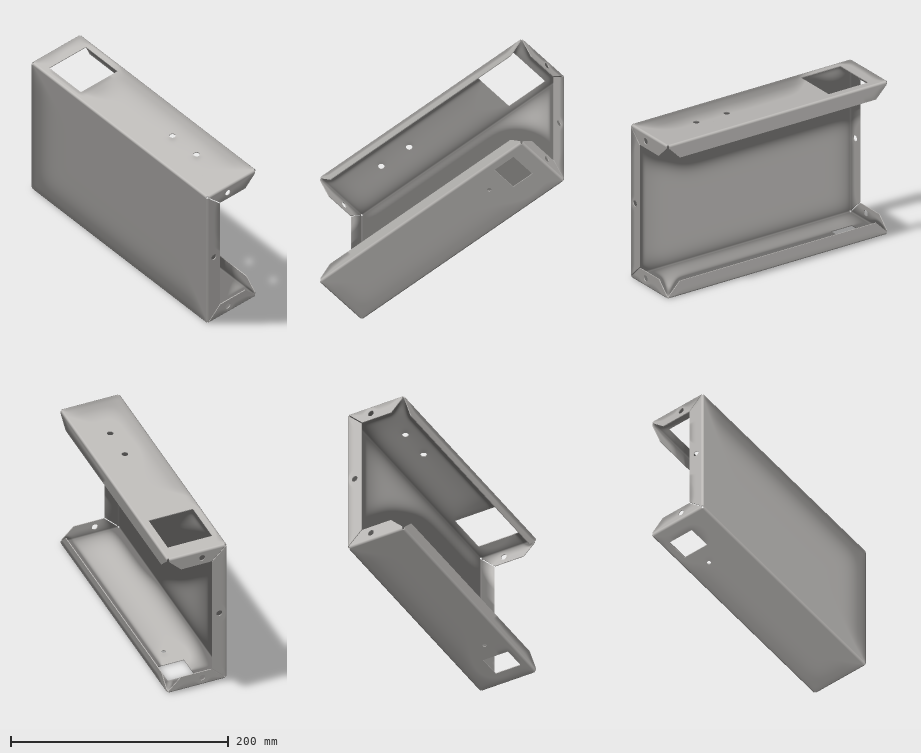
import cadquery as cq

length = 248.0
depth = 60.0
height = 155.0

sheet = 0.8
bend_radius = 2.1
flange_depth = 15.1
miter_trim = 0.7
shoulder = 1.2

hole_diameter = 6.0
flange_hole_from_front = 25.0
flange_hole_from_edge = 8.2
front_flange_hole_from_front = 8.0

opening_left = 17.0
opening_back = 8.0
top_opening_size = 44.5
bottom_opening_length = 23.3
bottom_opening_depth = 26.3
top_hole_from_front = 32.0
top_hole_positions = (38.0, 72.0)
bottom_hole_diameter = 4.0
bottom_hole_x = -65.0
bottom_hole_from_front = 38.0

half_length = length / 2
half_height = height / 2
inner_radius = bend_radius - sheet


def block(x_range, y_range, z_range):
    """Box between the given limits."""
    size = [high - low for low, high in (x_range, y_range, z_range)]
    corner = (x_range[0], y_range[0], z_range[0])
    return cq.Workplane("XY").box(*size, centered=False).translate(corner)


def edge_plane(edge_middle, inward, turned):
    """Frame on a sharp outer edge: local Y along one wall, local Z along the wall bent from it."""
    along = cq.Vector(*inward).cross(cq.Vector(*turned))
    return cq.Plane(edge_middle, along, turned)


def bend(plane, span):
    """Quarter-round sheet bend; local X runs along it, local Y and Z into the two walls."""
    section_plane = cq.Plane(plane.origin - plane.xDir * (span / 2), plane.yDir, plane.xDir)
    arc_share = 0.5 ** 0.5
    outer_mid = bend_radius * (1 - arc_share)
    inner_mid = bend_radius - inner_radius * arc_share
    return (
        cq.Workplane(section_plane)
        .moveTo(bend_radius, 0)
        .threePointArc((outer_mid, outer_mid), (0, bend_radius))
        .lineTo(sheet, bend_radius)
        .threePointArc((inner_mid, inner_mid), (bend_radius, sheet))
        .close()
        .extrude(span)
    )


def flange_end(mitered):
    """Outline of one flange end, as (setback from the bend end, depth) points from the bend outward.

    A mitered end is trimmed to leave a gap beside the next flange.
    A free end runs straight for a short shoulder before it slopes.
    """
    if mitered:
        return [(miter_trim, bend_radius), (miter_trim + flange_depth - bend_radius, flange_depth)]
    slope_start = bend_radius + shoulder
    return [(0, bend_radius), (0, slope_start), (flange_depth - slope_start, flange_depth)]


def flange(plane, span, mitered_start, mitered_end):
    """Bend plus a flange whose two ends slope at 45 degrees."""
    half_span = span / 2
    start_side = [(setback - half_span, level) for setback, level in flange_end(mitered_start)]
    end_side = [(half_span - setback, level) for setback, level in flange_end(mitered_end)]
    leaf = (
        cq.Workplane(cq.Plane(plane.origin, plane.xDir, -plane.yDir))
        .polyline(start_side + end_side[::-1])
        .close()
        .extrude(-sheet)
    )
    return bend(plane, span).union(leaf)


flat_x = (-half_length + bend_radius, half_length - bend_radius)
flat_y = (bend_radius, depth - bend_radius)
flat_z = (-half_height + bend_radius, half_height - bend_radius)
flat_length = flat_x[1] - flat_x[0]
flat_depth = flat_y[1] - flat_y[0]
flat_height = flat_z[1] - flat_z[0]

front_wall = block(flat_x, (0, sheet), flat_z)
top_wall = block(flat_x, flat_y, (half_height - sheet, half_height))

front_top_edge = edge_plane((0, 0, half_height), (0, 1, 0), (0, 0, -1))
back_top_edge = edge_plane((0, depth, half_height), (0, -1, 0), (0, 0, -1))
top_joint = bend(front_top_edge, flat_length)
back_lip = flange(back_top_edge, flat_length, mitered_start=False, mitered_end=False)

end_top_edge = edge_plane((-half_length, depth / 2, half_height), (1, 0, 0), (0, 0, -1))
end_front_edge = edge_plane((-half_length, 0, 0), (1, 0, 0), (0, 1, 0))
end_top_flange = flange(end_top_edge, flat_depth, mitered_start=True, mitered_end=False)
end_front_flange = flange(end_front_edge, flat_height, mitered_start=True, mitered_end=True)

upper = top_wall.union(top_joint).union(back_lip)
upper = upper.union(end_top_flange).union(end_top_flange.mirror("YZ"))
middle = front_wall.union(end_front_flange).union(end_front_flange.mirror("YZ"))
shell = middle.union(upper).union(upper.mirror("XY"))

end_hole_z = half_height - flange_hole_from_edge
end_holes = (
    cq.Workplane("YZ", origin=(-half_length, 0, 0))
    .pushPoints([
        (flange_hole_from_front, end_hole_z),
        (flange_hole_from_front, -end_hole_z),
        (front_flange_hole_from_front, 0),
    ])
    .circle(hole_diameter / 2)
    .extrude(length)
)


def opening(x_size, y_size, z_range):
    """Rectangular cutter sharing the left rear corner of both openings."""
    left = -half_length + opening_left
    back = depth - opening_back
    return block((left, left + x_size), (back - y_size, back), z_range)


top_range = (half_height - sheet, half_height)
top_opening = opening(top_opening_size, top_opening_size, top_range)
top_holes = (
    cq.Workplane("XY", origin=(0, 0, half_height))
    .pushPoints([(x, top_hole_from_front) for x in top_hole_positions])
    .circle(hole_diameter / 2)
    .extrude(-sheet)
)

bottom_range = (-half_height, -half_height + sheet)
bottom_opening = opening(bottom_opening_length, bottom_opening_depth, bottom_range)
bottom_hole = (
    cq.Workplane("XY", origin=(bottom_hole_x, bottom_hole_from_front, -half_height))
    .circle(bottom_hole_diameter / 2)
    .extrude(sheet)
)

result = shell
for cutter in (end_holes, top_opening, top_holes, bottom_opening, bottom_hole):
    result = result.cut(cutter)